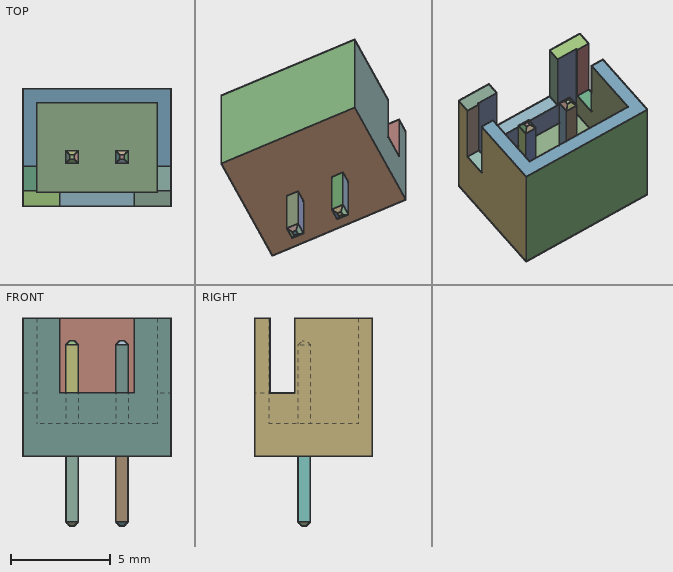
import cadquery as cq


housing_length = 7.43
housing_depth = 5.9
housing_height = 6.93
wall = 0.7
floor_thickness = 1.65
pin_to_front = 2.48

opening_depth = 3.75
sill_height = housing_height - opening_depth
front_opening_width = housing_length / 2
side_slot_width = 1.23
side_slot_to_front = 0.78

pin_count = 2
pin_pitch = 2.5
pin_size = 0.63
pin_taper = 0.21
pin_below_housing = 3.5
pin_tip_below_rim = 1.13
pin_length = pin_below_housing + housing_height - pin_tip_below_rim

front_y = -pin_to_front


def block(length, depth, height, near_y, base_z):
    """Box centred on X whose front face is at near_y and underside at base_z."""
    return (
        cq.Workplane("XY")
        .box(length, depth, height, centered=(True, False, False))
        .translate((0, near_y, base_z))
    )


def make_housing():
    body = block(housing_length, housing_depth, housing_height, front_y, 0)
    cavity = block(
        housing_length - 2 * wall,
        housing_depth - 2 * wall,
        housing_height - floor_thickness,
        front_y + wall,
        floor_thickness,
    )
    front_opening = block(front_opening_width, wall, opening_depth, front_y, sill_height)
    side_slots = block(
        housing_length,
        side_slot_width,
        opening_depth,
        front_y + side_slot_to_front,
        sill_height,
    )
    return body.cut(cavity).cut(front_opening).cut(side_slots)


def make_pin(x):
    """Square pin with both ends tapered to a small flat."""
    return (
        cq.Workplane("XY")
        .box(pin_size, pin_size, pin_length, centered=(True, True, False))
        .faces("<Z or >Z")
        .chamfer(pin_taper)
        .translate((x, 0, -pin_below_housing))
    )


result = make_housing()
for index in range(pin_count):
    result = result.union(make_pin((index - (pin_count - 1) / 2) * pin_pitch))